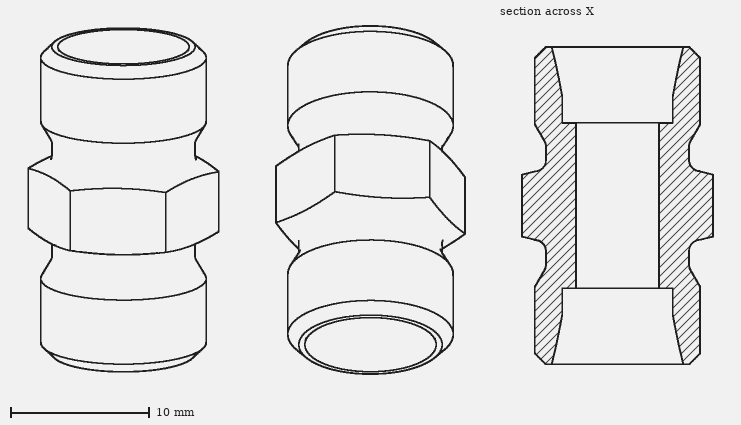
import cadquery as cq
import math

length = 23.0
body_diameter = 12.0
neck_diameter = 10.4
hex_height = 5.0

end_chamfer = 0.8
cylinder_end_depth = 5.61
taper_angle = 30.0
taper_blend_radius = 0.8
hex_chamfer_angle = 15.0

bore_diameter = 6.0
socket_diameter = 8.0
mouth_diameter = 9.52
cone_half_angle = 12.0
socket_depth = 5.5

half_length = length / 2
half_hex = hex_height / 2
body_radius = body_diameter / 2
neck_radius = neck_diameter / 2
shoulder_radius = body_radius - neck_radius
corner_radius = body_radius / math.cos(math.radians(30))
taper_length = shoulder_radius / math.tan(math.radians(taper_angle))
cone_depth = (mouth_diameter - socket_diameter) / 2 / math.tan(math.radians(cone_half_angle))


def make_threaded_end():
    """Upper end: chamfered cylinder, taper, neck and concave shoulder on the hexagon."""
    cylinder_bottom = half_length - cylinder_end_depth
    taper_bottom = cylinder_bottom - taper_length
    neck_bottom = half_hex + shoulder_radius

    angle = math.radians(taper_angle)
    blend_length = taper_blend_radius * math.tan(angle / 2)
    blend_bottom = taper_bottom - blend_length
    blend_center_radius = neck_radius + taper_blend_radius

    def blend_point(turn):
        return (
            blend_center_radius - taper_blend_radius * math.cos(turn),
            blend_bottom + taper_blend_radius * math.sin(turn),
        )

    shoulder_offset = shoulder_radius * math.sqrt(0.5)
    shoulder_middle = (body_radius - shoulder_offset, neck_bottom - shoulder_offset)

    return (
        cq.Workplane("XZ")
        .moveTo(0, 0)
        .lineTo(0, half_length)
        .lineTo(body_radius - end_chamfer, half_length)
        .lineTo(body_radius, half_length - end_chamfer)
        .lineTo(body_radius, cylinder_bottom)
        .lineTo(*blend_point(angle))
        .threePointArc(blend_point(angle / 2), blend_point(0))
        .lineTo(neck_radius, neck_bottom)
        .threePointArc(shoulder_middle, (body_radius, half_hex))
        .lineTo(body_radius, 0)
        .close()
        .revolve(360, (0, 0, 0), (0, 1, 0))
    )


def make_hexagon():
    """Hexagon with corners on the Y axis, its corners chamfered on both faces."""
    prism = (
        cq.Workplane("XY")
        .polygon(6, 2 * corner_radius)
        .extrude(half_hex, both=True)
        .rotate((0, 0, 0), (0, 0, 1), 90)
    )
    corner_drop = (corner_radius - body_radius) * math.tan(math.radians(hex_chamfer_angle))
    chamfer_envelope = (
        cq.Workplane("XZ")
        .moveTo(0, -half_hex)
        .lineTo(body_radius, -half_hex)
        .lineTo(corner_radius, corner_drop - half_hex)
        .lineTo(corner_radius, half_hex - corner_drop)
        .lineTo(body_radius, half_hex)
        .lineTo(0, half_hex)
        .close()
        .revolve(360, (0, 0, 0), (0, 1, 0))
    )
    return prism.intersect(chamfer_envelope)


def make_socket():
    """Upper opening: conical mouth leading into a flat-bottomed socket."""
    return (
        cq.Workplane("XZ")
        .moveTo(0, half_length)
        .lineTo(mouth_diameter / 2, half_length)
        .lineTo(socket_diameter / 2, half_length - cone_depth)
        .lineTo(socket_diameter / 2, half_length - socket_depth)
        .lineTo(0, half_length - socket_depth)
        .close()
        .revolve(360, (0, 0, 0), (0, 1, 0))
    )


threaded_end = make_threaded_end()
socket = make_socket()
bore = cq.Workplane("XY").circle(bore_diameter / 2).extrude(half_length, both=True)

result = (
    make_hexagon()
    .union(threaded_end)
    .union(threaded_end.mirror("XY"))
    .cut(bore)
    .cut(socket)
    .cut(socket.mirror("XY"))
)